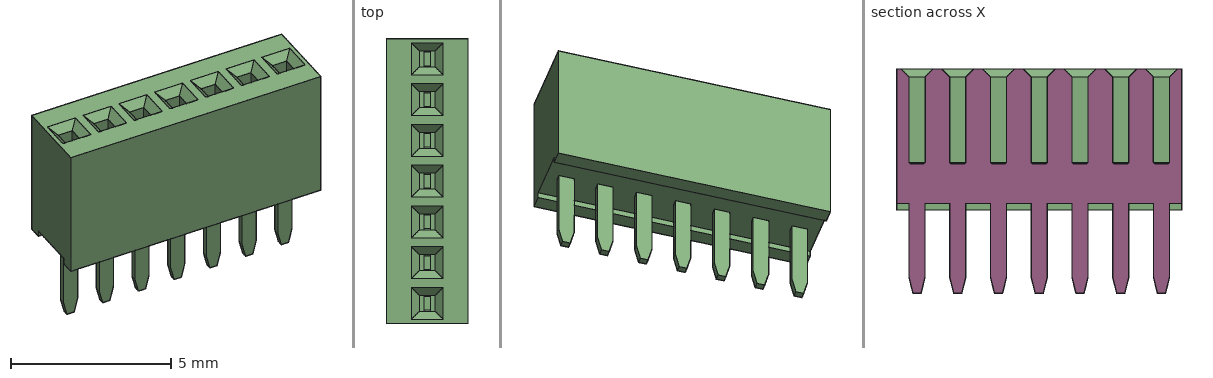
import cadquery as cq

contact_count = 7
housing_length = 8.89
housing_width = 2.54
housing_height = 4.4
pitch = housing_length / contact_count

channel_width = 1.67
channel_height = 0.205

mouth_size = 1.0
throat_size = 0.5
funnel_depth = (mouth_size - throat_size) / 2
throat_depth = 2.67

slot_width = 0.2
slot_top_length = throat_size
slot_floor_length = 0.43
slot_depth = (slot_top_length - slot_floor_length) / 2

tail_thickness = 0.205
tail_width = 0.51
tail_length = 2.6
tip_width = 0.26
tip_length = 0.5

funnel_floor = housing_height - funnel_depth
throat_floor = funnel_floor - throat_depth


def make_housing():
    block = cq.Workplane("XY").box(
        housing_width, housing_length, housing_height, centered=(True, True, False)
    )
    channel = cq.Workplane("XY").box(
        channel_width, housing_length, channel_height, centered=(True, True, False)
    )
    return block.cut(channel)


def extrude_across(outline, thickness):
    """Extrude a closed (Y, Z) outline along X, centred on X = 0."""
    return cq.Workplane("YZ").polyline(outline).close().extrude(thickness / 2, both=True)


def make_socket():
    """Space removed from the housing for one contact."""
    funnel = (
        cq.Workplane("XY", origin=(0, 0, funnel_floor))
        .rect(throat_size, throat_size)
        .workplane(offset=funnel_depth)
        .rect(mouth_size, mouth_size)
        .loft(ruled=True)
    )
    throat = cq.Workplane("XY", origin=(0, 0, throat_floor)).box(
        throat_size, throat_size, throat_depth, centered=(True, True, False)
    )
    slot_floor = throat_floor - slot_depth
    slot_outline = [
        (-slot_top_length / 2, throat_floor),
        (slot_top_length / 2, throat_floor),
        (slot_floor_length / 2, slot_floor),
        (-slot_floor_length / 2, slot_floor),
    ]
    return funnel.union(throat).union(extrude_across(slot_outline, slot_width))


def make_tail():
    """One contact tail, starting at the roof of the channel."""
    taper_start = tip_length - tail_length
    right_side = [
        (tail_width / 2, channel_height),
        (tail_width / 2, taper_start),
        (tip_width / 2, -tail_length),
    ]
    left_side = [(-y, z) for y, z in reversed(right_side)]
    return extrude_across(right_side + left_side, tail_thickness)


socket = make_socket()
tail = make_tail()
result = make_housing()
for index in range(contact_count):
    row_position = (0, (index - (contact_count - 1) / 2) * pitch, 0)
    result = result.cut(socket.translate(row_position))
    result = result.union(tail.translate(row_position))